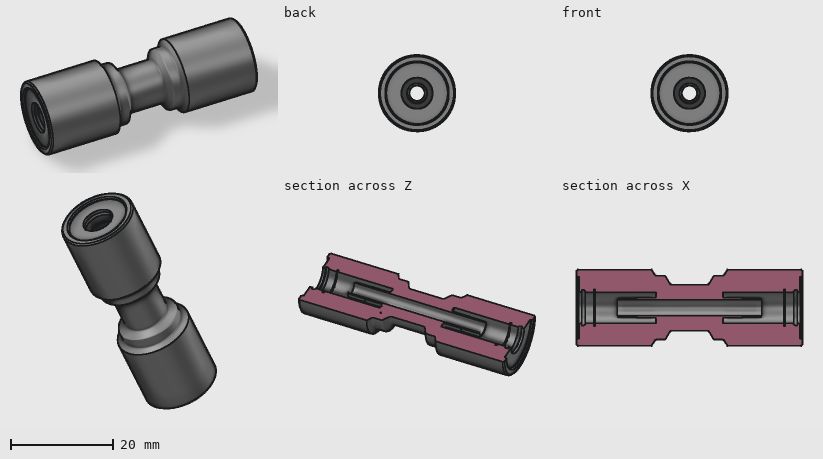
import cadquery as cq
import math


length = 44.2
half_length = length / 2
body_radius = 15.0 / 2
shoulder_radius = 12.5 / 2
neck_radius = 9.0 / 2
shoulder_start = 4.7
body_start = 7.4
cone_slope = math.tan(math.radians(30))
corner_fillet = 0.4
end_chamfer = 0.3

dish_rim_radius = 12.5 / 2
dish_floor_radius = 12.0 / 2
dish_depth = 0.5
dish_chamfer_depth = 0.3

mouth_radius = 6.15 / 2
socket_radius = 6.0 / 2
socket_depth = 15.05
seal_groove_start = 0.57
seal_groove_end = 1.3
seal_groove_height = 0.45
gap_start = 2.9
gap_end = 3.2
gap_height = 0.55

nozzle_base_radius = 4.0 / 2
nozzle_tip_radius = 3.85 / 2
nozzle_length = 7.5
nozzle_base_length = 3.75
nozzle_base_fillet = 0.25
nozzle_tip_fillet = 0.25
bore_radius = 2.95 / 2

neck_end = shoulder_start - (shoulder_radius - neck_radius) * cone_slope
shoulder_end = body_start - (body_radius - shoulder_radius) * cone_slope
dish_floor = half_length - dish_depth
overlap = 0.45


def revolve_about_y(profile):
    return profile.close().revolve(360, (0, 0, 0), (0, 1, 0))


def edges_at(solid, radius, height):
    """Circular edges, up to the given radius, lying in the plane Y = height."""
    tolerance = 0.005
    box = cq.selectors.BoxSelector(
        (-radius - tolerance, height - tolerance, -radius - tolerance),
        (radius + tolerance, height + tolerance, radius + tolerance),
        boundingbox=True,
    )
    return solid.edges(box)


def outside():
    """Both bodies with their shoulders and the neck that joins them."""
    upper_outline = [
        (neck_radius, neck_end),
        (shoulder_radius, shoulder_start),
        (shoulder_radius, shoulder_end),
        (body_radius, body_start),
        (body_radius, half_length),
    ]
    lower_outline = [(radius, -height) for radius, height in reversed(upper_outline)]
    outline = [(0, -half_length)] + lower_outline + upper_outline + [(0, half_length)]
    solid = revolve_about_y(cq.Workplane("XY").polyline(outline))
    for side in (1, -1):
        for radius, height in upper_outline[:3]:
            solid = edges_at(solid, radius, side * height).fillet(corner_fillet)
        solid = edges_at(solid, body_radius, side * half_length).chamfer(end_chamfer)
    return solid


def dish():
    """Shallow recess with a chamfered rim."""
    return revolve_about_y(
        cq.Workplane("XY")
        .moveTo(0, dish_floor)
        .lineTo(dish_floor_radius, dish_floor)
        .lineTo(dish_floor_radius, half_length - dish_chamfer_depth)
        .lineTo(dish_rim_radius, half_length)
        .lineTo(dish_rim_radius, half_length + overlap)
        .lineTo(0, half_length + overlap)
    )


def socket():
    """Socket with a tapered mouth, a rounded seal groove and a square gap."""
    corner_start = dish_floor - seal_groove_end + seal_groove_height
    groove_bottom = socket_radius + seal_groove_height
    gap_bottom = socket_radius + gap_height
    return revolve_about_y(
        cq.Workplane("XY")
        .moveTo(0, dish_floor - socket_depth)
        .lineTo(socket_radius, dish_floor - socket_depth)
        .lineTo(socket_radius, dish_floor - gap_end)
        .lineTo(gap_bottom, dish_floor - gap_end)
        .lineTo(gap_bottom, dish_floor - gap_start)
        .lineTo(socket_radius, dish_floor - gap_start)
        .lineTo(socket_radius, dish_floor - seal_groove_end)
        .radiusArc((groove_bottom, corner_start), -seal_groove_height)
        .lineTo(groove_bottom, dish_floor - seal_groove_start)
        .lineTo(socket_radius, dish_floor - seal_groove_start)
        .lineTo(mouth_radius, dish_floor)
        .lineTo(mouth_radius, dish_floor + overlap)
        .lineTo(0, dish_floor + overlap)
    )


def nozzle():
    """Stepped nozzle with a fillet at its foot and a rounded tip."""
    foot = dish_floor - socket_depth
    step = foot + nozzle_base_length
    tip = foot + nozzle_length
    foot_radius = nozzle_base_radius + nozzle_base_fillet
    return revolve_about_y(
        cq.Workplane("XY")
        .moveTo(0, foot - overlap)
        .lineTo(foot_radius, foot - overlap)
        .lineTo(foot_radius, foot)
        .radiusArc((nozzle_base_radius, foot + nozzle_base_fillet), nozzle_base_fillet)
        .lineTo(nozzle_base_radius, step)
        .lineTo(nozzle_tip_radius, step)
        .lineTo(nozzle_tip_radius, tip - nozzle_tip_fillet)
        .radiusArc((nozzle_tip_radius - nozzle_tip_fillet, tip), -nozzle_tip_fillet)
        .lineTo(0, tip)
    )


def on_both_ends(upper):
    return upper.union(upper.mirror("XZ"))


def through_bore():
    return cq.Workplane("XZ").circle(bore_radius).extrude(half_length, both=True)


end_cavity = dish().union(socket()).cut(nozzle())
result = outside().cut(on_both_ends(end_cavity)).cut(through_bore())